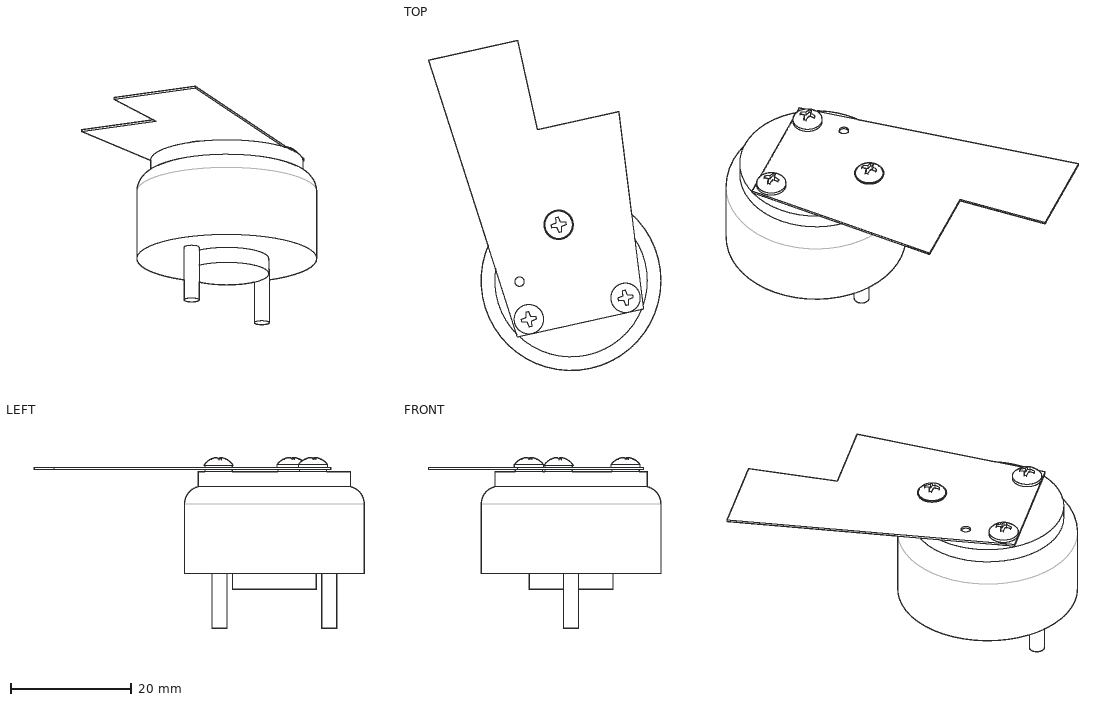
import cadquery as cq
import math

can_diameter = 30.0
shoulder_radius = 3.0
shoulder_top = 14.6
lid_diameter = 25.41
lid_top = 17.0
boss_diameter = 14.0
boss_length = 2.6
pin_diameter = 2.54
pin_length = 9.12
pin_offset = 9.15

washer_diameter = 4.57
washer_thickness = 0.35
plate_thickness = 0.35
plate_bottom = lid_top + washer_thickness
plate_top = plate_bottom + plate_thickness

plate_angle = 12.5
plate_base_half_width = 10.78
plate_base = -7.24
plate_tongue_width = 15.24
plate_tongue_end = 41.0
plate_step = 25.78
plate_step_width = 13.9
small_hole_diameter = 1.57
small_hole_position = (-8.41, 1.69)

screw_count = 3
first_screw_angle = 90
screw_circle_radius = 9.525
shank_diameter = 2.0
shank_depth_in_lid = 4.0
shank_bottom = lid_top - shank_depth_in_lid
head_diameter = 4.9
head_top = 19.42
head_rim_height = 0.48

recess_reach = 1.25
recess_tip_half_width = 0.23
recess_core = 0.38
recess_depth = 0.8


def turned_with_plate(body):
    return body.rotate((0, 0, 0), (0, 0, 1), plate_angle)


def cylinder(diameter, bottom, top, center=(0, 0)):
    return (
        cq.Workplane("XY", origin=(center[0], center[1], bottom))
        .circle(diameter / 2)
        .extrude(top - bottom)
    )


screw_angles = [first_screw_angle + index * 360 / screw_count for index in range(screw_count)]
screw_places = [
    (
        screw_circle_radius * math.cos(math.radians(angle)),
        screw_circle_radius * math.sin(math.radians(angle)),
    )
    for angle in screw_angles
]
rear_place = screw_places[0]
front_places = screw_places[1:]


def make_housing():
    can = cylinder(can_diameter, 0, shoulder_top).faces(">Z").edges().fillet(shoulder_radius)
    lid = cylinder(lid_diameter, shoulder_top - shoulder_radius, lid_top)
    boss = cylinder(boss_diameter, -boss_length, 0)
    body = can.union(lid).union(boss)
    for side in (-1, 1):
        body = body.union(cylinder(pin_diameter, -pin_length, 0, (0, side * pin_offset)))
    for place in screw_places:
        screw_hole = cylinder(shank_diameter, shank_bottom, lid_top, place)
        body = body.cut(turned_with_plate(screw_hole))
    return body


def make_plate():
    outline = [
        (-plate_base_half_width, plate_base),
        (plate_base_half_width, plate_base),
        (plate_step_width, plate_step),
        (0, plate_step),
        (0, plate_tongue_end),
        (-plate_tongue_width, plate_tongue_end),
    ]
    sheet = cq.Workplane("XY", origin=(0, 0, plate_bottom)).polyline(outline).close().extrude(plate_thickness)
    sheet = sheet.cut(cylinder(small_hole_diameter, plate_bottom, plate_top, small_hole_position))
    for place in screw_places:
        sheet = sheet.cut(cylinder(shank_diameter, plate_bottom, plate_top, place))
    return turned_with_plate(sheet)


def make_washer(place, bottom):
    top = bottom + washer_thickness
    ring = cylinder(washer_diameter, bottom, top, place)
    ring = ring.cut(cylinder(shank_diameter, bottom, top, place))
    return turned_with_plate(ring)


def make_recess():
    outline = []
    for quarter in range(4):
        turn = math.radians(90 * quarter)
        arm = [
            (recess_reach, -recess_tip_half_width),
            (recess_reach, recess_tip_half_width),
            (recess_core, recess_core),
        ]
        for x, y in arm:
            outline.append((
                x * math.cos(turn) - y * math.sin(turn),
                x * math.sin(turn) + y * math.cos(turn),
            ))
    bottom = head_top - recess_depth
    return cq.Workplane("XY", origin=(0, 0, bottom)).polyline(outline).close().extrude(recess_depth)


def make_screw(place, seat, rim_height):
    shank_radius = shank_diameter / 2
    head_radius = head_diameter / 2
    dome_base = seat + rim_height
    dome_height = head_top - dome_base
    sphere_radius = (head_radius**2 + dome_height**2) / (2 * dome_height)
    middle_radius = head_radius / 2
    middle_height = head_top - sphere_radius + math.sqrt(sphere_radius**2 - middle_radius**2)
    profile = (
        cq.Workplane("XZ")
        .moveTo(0, shank_bottom)
        .lineTo(shank_radius, shank_bottom)
        .lineTo(shank_radius, seat)
        .lineTo(head_radius, seat)
    )
    if rim_height > 0:
        profile = profile.lineTo(head_radius, dome_base)
    profile = profile.threePointArc((middle_radius, middle_height), (0, head_top)).close()
    screw = profile.revolve(360, (0, 0, 0), (0, 1, 0)).cut(make_recess())
    return turned_with_plate(screw.translate((place[0], place[1], 0)))


housing = make_housing()
plate = make_plate()

washers = [make_washer(place, lid_top) for place in screw_places]
washers.append(make_washer(rear_place, plate_top))

screws = [make_screw(rear_place, plate_top + washer_thickness, 0)]
screws += [make_screw(place, plate_top, head_rim_height) for place in front_places]

small_parts = washers + screws
result = cq.Compound.makeCompound([
    housing.val(),
    plate.val(),
    *[part.val() for part in small_parts],
])